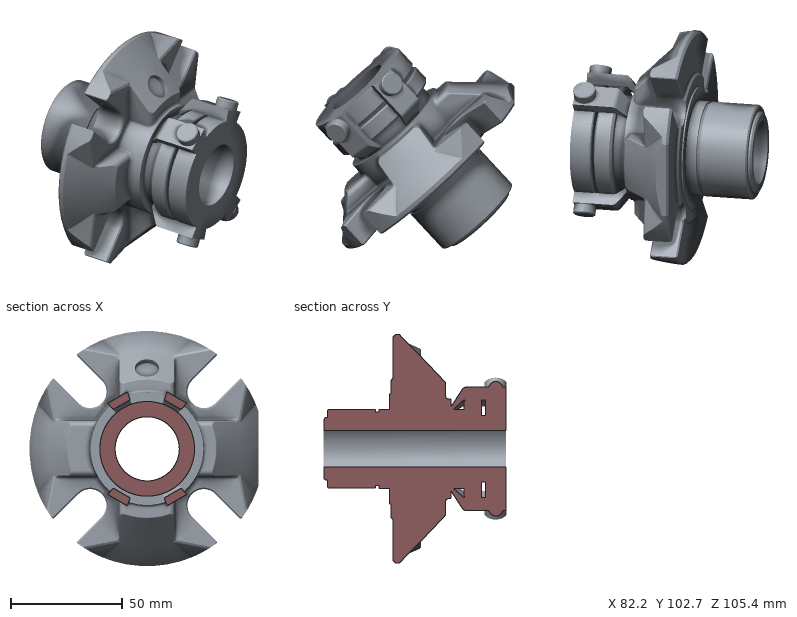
import cadquery as cq
import math


bore_dia = 28.6
nose_dia = 36.8
nose_end_x = 1.6
nose_chamfer = 0.8
sleeve_dia = 42.6
sleeve_chamfer = 0.6
relief_dia = 40.8
relief_start_x = 23.3
relief_end_x = 24.8
seat_dia = 42.7

gasket_dia = 54.9
gasket_face_x = 29.5
pilot_dia = 65.8
pilot_face_x = 30.1
pilot_root_dia = 67.9
flange_face_x = 31.1
flange_dia = 105.4
flange_thickness = 12.8
flange_back_x = flange_face_x + flange_thickness
flange_chamfer = 1.1
flat_y = 50.0
rim_end_x = 34.0
lobe_count = 4
lobe_step = 360 / lobe_count

slot_width = 14.7
slot_end_radius = 36.0
lobe_chamfer = 0.6
lobe_corner_chamfer = 0.4

ear_half_chord = 19.8
ear_tilt = 30.0
ear_skew = 10.8

hub_dia = 50.6
hub_end_x = 57.2
boss_width = 24.9
long_boss_end_x = 55.7
short_boss_end_x = 51.1
boss_ends = {0: long_boss_end_x, 90: long_boss_end_x, 180: short_boss_end_x, 270: long_boss_end_x}
boss_corner_radius = 2.5
boss_edge_fillet = 0.6
root_fillet = 1.3
port_dia = 11.0
port_center_x = 50.6
port_depth = 2.4

neck_dia = 42.7
ring_dia = 50.6
front_ring_start_x = 62.8
front_ring_end_x = 70.8
rear_ring_start_x = 72.4
rear_ring_end_x = 81.9
ring_edge_chamfer = 1.1
ring_gap_chamfer = 0.5
gap_dia = 38.3

clip_angles = (60, 120, 240, 300)
clip_width = 11.7
clip_top_radius = 29.9
clip_toe_radius = 22.5
clip_underside_radius = 24.7
clip_underside_toe_radius = 20.3
clip_bend_radius = 2.5
screw_dia = 10.0
screw_x = 82.2 - screw_dia / 2
screw_top_radius = 34.0
screw_chamfer = 0.4

flange_radius = flange_dia / 2
oversize = 2 * flange_dia
tolerance = 0.01


def turned(points):
    """Revolve an outline of (x, radius) points about the X axis."""
    return cq.Workplane("XY").polyline(points).close().revolve(360, (0, 0, 0), (1, 0, 0))


def disc(start_x, end_x, dia):
    return cq.Workplane("YZ").workplane(offset=start_x).circle(dia / 2).extrude(end_x - start_x)


def about_shaft(shape, angle):
    """Turn a shape about X; the angle runs from +Y towards +Z."""
    return shape.rotate((0, 0, 0), (1, 0, 0), angle)


def cone_radius(x):
    """Radius of the 45 degree cone on the back of the flange."""
    return flange_radius - (x - rim_end_x)


def back_cone(end_x):
    return turned([
        (flange_face_x, 0),
        (flange_face_x, flange_radius),
        (rim_end_x, flange_radius),
        (end_x, cone_radius(end_x)),
        (end_x, 0),
    ])


def sleeve():
    nose = disc(0, nose_end_x, nose_dia).faces("<X").chamfer(nose_chamfer)
    body = disc(nose_end_x, relief_start_x, sleeve_dia).faces("<X").chamfer(sleeve_chamfer)
    relief = disc(relief_start_x, relief_end_x, relief_dia)
    seat = disc(relief_end_x, gasket_face_x, seat_dia)
    return nose.union(body).union(relief).union(seat)


def ear_half_space(side):
    """Space outside the sloping face of the ear on one side of the +Y lobe."""
    tilt = math.radians(ear_tilt)
    skew = math.radians(ear_skew)
    apex = (rim_end_x, math.sqrt(flange_radius**2 - ear_half_chord**2), side * ear_half_chord)
    normal = (
        math.sin(tilt),
        math.cos(tilt) * math.cos(skew),
        -side * math.cos(tilt) * math.sin(skew),
    )
    along = (0, math.sin(skew), side * math.cos(skew))
    face = cq.Plane(origin=apex, xDir=along, normal=normal)
    return cq.Workplane(face).rect(oversize, oversize).extrude(flange_radius)


def slot():
    length = flange_radius
    slot_box = cq.Workplane("YZ").workplane(offset=flange_face_x - flange_thickness)
    slot_box = slot_box.center(slot_end_radius + length / 2, 0).rect(length, slot_width)
    end = cq.Workplane("YZ").workplane(offset=flange_face_x - flange_thickness)
    end = end.center(slot_end_radius, 0).circle(slot_width / 2)
    depth = 2 * flange_thickness
    return slot_box.extrude(depth).union(end.extrude(depth))


def cut_slots(shape):
    for lobe in range(lobe_count):
        shape = shape.cut(about_shaft(slot(), (lobe + 0.5) * lobe_step))
    return shape


def is_on_slot_wall(point):
    """True for a point on one of the flat slot walls."""
    gap_from_middle = min(abs(point.y + point.z), abs(point.y - point.z)) / math.sqrt(2)
    return abs(gap_from_middle - slot_width / 2) < tolerance


def is_slot_corner(edge):
    """True for the edges along X at the outer ends of the slot walls."""
    start = edge.startPoint()
    at_rim = math.hypot(start.y, start.z) > flange_radius - 2 * flange_chamfer
    along_x = abs(start.x - edge.endPoint().x) > flange_thickness / 2
    return is_on_slot_wall(start) and at_rim and along_x


def is_lobe_face_edge(edge):
    """True for the straight edges of the slot walls at the front and back, and of the ear tops."""
    start = edge.startPoint()
    end = edge.endPoint()
    across_x = abs(start.x - end.x) < tolerance
    on_wall = is_on_slot_wall(start) and is_on_slot_wall(end)
    on_back = abs(start.x - flange_back_x) < tolerance
    return edge.geomType() == "LINE" and across_x and (on_wall or on_back)


def flange():
    plate = disc(flange_face_x, flange_back_x, flange_dia)
    beyond_flat = cq.Workplane("XY").box(oversize, oversize, oversize)
    plate = plate.cut(beyond_flat.translate((0, flat_y + oversize / 2, 0)))
    plate = plate.faces("<X").edges().chamfer(flange_chamfer)

    relief = ear_half_space(1).intersect(ear_half_space(-1)).cut(back_cone(flange_back_x))
    for lobe in range(lobe_count):
        plate = plate.cut(about_shaft(relief, lobe * lobe_step))

    plate = cut_slots(plate)
    plate = plate.edges().filter(is_slot_corner).chamfer(lobe_corner_chamfer)
    plate = plate.edges().filter(is_lobe_face_edge).chamfer(lobe_chamfer)

    pilot_back_x = flange_face_x + lobe_chamfer
    pilot = turned([
        (pilot_back_x, 0),
        (pilot_back_x, pilot_root_dia / 2),
        (flange_face_x, pilot_root_dia / 2),
        (pilot_face_x, pilot_dia / 2),
        (pilot_face_x, 0),
    ])
    pilot = cut_slots(pilot.union(disc(gasket_face_x, pilot_face_x, gasket_dia)))
    return plate.union(pilot)


def boss_block(end_x):
    """Plain block of the boss on the +Y lobe, reaching from the axis to the rim."""
    length = end_x - flange_face_x
    block = cq.Workplane("XY").box(length, flange_radius, boss_width, centered=(False, False, True))
    return block.translate((flange_face_x, 0, 0)).edges(">X and |Y").fillet(boss_corner_radius)


def is_root_edge(edge):
    """True where a boss rises from the hub, or where hub and bosses meet the flange."""
    points = (edge.startPoint(), edge.endPoint())
    radii = [math.hypot(p.y, p.z) for p in points]
    starts_on_hub = abs(min(radii) - hub_dia / 2) < tolerance
    ends_on_hub = abs(max(radii) - hub_dia / 2) < tolerance
    on_flange = all(abs(p.x - flange_back_x) < tolerance for p in points)
    below_hub_end = all(p.x < hub_end_x - tolerance for p in points)
    return starts_on_hub and below_hub_end and (ends_on_hub or on_flange)


def is_cone_edge(edge):
    """True for the edges along the sides of a boss where it meets the flange cone."""
    start = edge.startPoint()
    end = edge.endPoint()
    on_cone = all(abs(math.hypot(p.y, p.z) - cone_radius(p.x)) < tolerance for p in (start, end))
    return on_cone and abs(start.x - end.x) > tolerance


def hub():
    plate = disc(flange_face_x, flange_back_x, flange_dia)
    body = plate.union(disc(flange_back_x, hub_end_x, hub_dia))
    for angle, end_x in boss_ends.items():
        body = body.union(about_shaft(boss_block(end_x), angle))
    body = body.edges().filter(is_root_edge).fillet(root_fillet)
    body = body.intersect(back_cone(hub_end_x))
    body = body.cut(plate)
    return body.edges().filter(is_cone_edge).fillet(boss_edge_fillet)


def port():
    mouth = (port_center_x, 0, cone_radius(port_center_x))
    axis = cq.Plane(origin=mouth, xDir=(0, 1, 0), normal=(1, 0, 1))
    return cq.Workplane(axis).circle(port_dia / 2).extrude(port_depth, both=True)


def clamp():
    neck = disc(hub_end_x, front_ring_start_x, neck_dia)
    front_ring = disc(front_ring_start_x, front_ring_end_x, ring_dia)
    front_ring = front_ring.faces("<X").edges().chamfer(ring_edge_chamfer)
    front_ring = front_ring.faces(">X").edges().chamfer(ring_gap_chamfer)
    gap = disc(front_ring_end_x, rear_ring_start_x, gap_dia)
    rear_ring = disc(rear_ring_start_x, rear_ring_end_x, ring_dia)
    rear_ring = rear_ring.faces("<X").edges().chamfer(ring_gap_chamfer)
    return neck.union(front_ring).union(gap).union(rear_ring)


def clip():
    outline = [
        (hub_end_x, clip_underside_toe_radius),
        (hub_end_x, clip_toe_radius),
        (front_ring_start_x, clip_top_radius),
        (rear_ring_end_x, clip_top_radius),
        (rear_ring_end_x, clip_underside_radius),
        (front_ring_start_x, clip_underside_radius),
    ]
    bar = cq.Workplane("XY").polyline(outline).close().extrude(clip_width, both=True)
    bar = bar.edges("|Z").edges(cq.selectors.NearestToPointSelector((front_ring_start_x, clip_top_radius, 0)))
    bar = bar.fillet(clip_bend_radius)
    wedge = cq.Workplane("YZ").polyline([
        (0, 0),
        (2 * clip_top_radius, clip_width),
        (2 * clip_top_radius, -clip_width),
    ])
    bar = bar.intersect(wedge.close().extrude(rear_ring_end_x))
    screw = cq.Workplane("XZ", origin=(screw_x, 0, 0)).workplane(offset=-screw_top_radius)
    screw = screw.circle(screw_dia / 2).extrude(screw_top_radius - clip_top_radius)
    screw = screw.faces(">Y").chamfer(screw_chamfer)
    return bar.union(screw)


result = sleeve().union(flange()).union(hub()).union(clamp())
for angle in clip_angles:
    result = result.union(about_shaft(clip(), angle))
result = result.cut(port()).cut(disc(0, rear_ring_end_x, bore_dia))